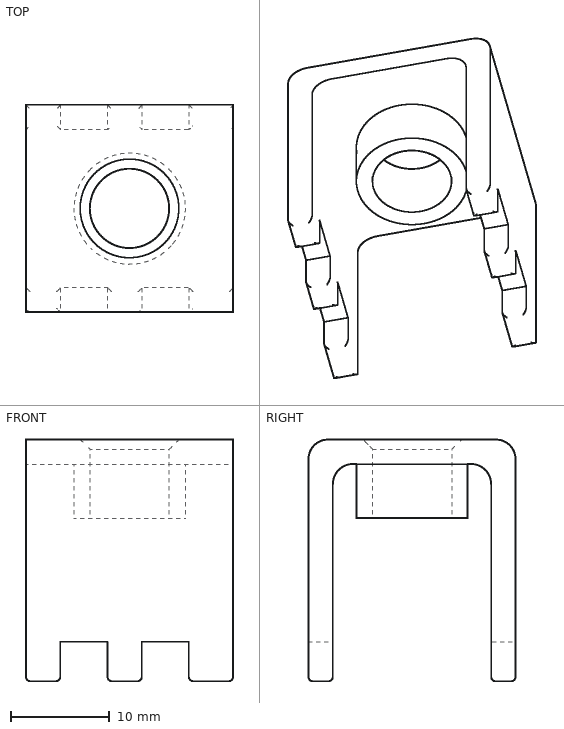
import cadquery as cq

width = 21.0
height = 24.5
sheet = 2.5
bend_radius = 2.0

foot_height = 4.0
foot_edge_fillet = 0.5
left_foot_width = 3.5
middle_foot_start = 8.25
middle_foot_width = 3.5
right_foot_width = 4.5

collar_diameter = 11.27
collar_bottom_depth = 7.96
hole_diameter = 8.0
countersink_diameter = 10.0
countersink_angle = 90


def make_channel():
    """Inverted U with rounded bends, centred on X and Y, standing on Z = 0."""
    outer = cq.Workplane("XY").box(width, width, height, centered=(True, True, False))
    outer = outer.edges("|X and >Z").fillet(bend_radius)
    inner = cq.Workplane("XY").box(
        width, width - 2 * sheet, height - sheet, centered=(True, True, False)
    )
    inner = inner.edges("|X and >Z").fillet(bend_radius)
    return outer.cut(inner)


def make_notch(start, end):
    """Cutter through both walls; start and end are measured from the -X side."""
    return (
        cq.Workplane("XY")
        .box(end - start, width, foot_height, centered=(False, True, False))
        .translate((start - width / 2, 0, 0))
    )


def make_collar():
    """Solid collar reaching from inside the bridge down to its lower face."""
    collar_height = collar_bottom_depth - sheet / 2
    return (
        cq.Workplane("XY", origin=(0, 0, height - collar_bottom_depth))
        .circle(collar_diameter / 2)
        .extrude(collar_height)
    )


bracket = make_channel()
bracket = bracket.cut(make_notch(left_foot_width, middle_foot_start))
bracket = bracket.cut(make_notch(middle_foot_start + middle_foot_width, width - right_foot_width))

bracket = bracket.faces("<Z").edges().fillet(foot_edge_fillet)

bracket = bracket.union(make_collar())
result = (
    bracket.faces(">Z")
    .workplane(origin=(0, 0, height))
    .cskHole(hole_diameter, countersink_diameter, countersink_angle, depth=collar_bottom_depth)
)